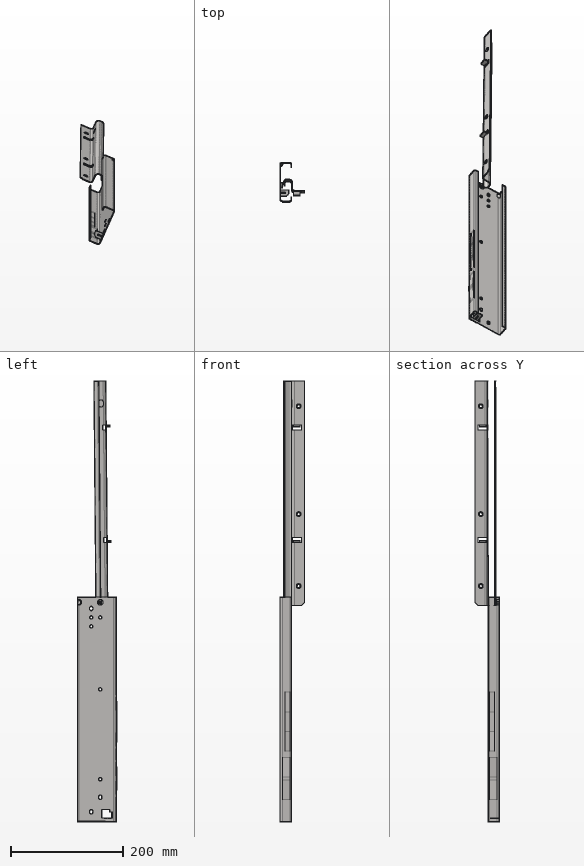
import cadquery as cq
import math

SHEET = 1.5
OVERALL_LENGTH = 785.02

CABINET_LENGTH = 400
CABINET_HEIGHT = 69.5
CABINET_DEPTH = 21.3
LIP_HEIGHT = 8.4
LOWER_WALL_BEND = 4
UPPER_WALL_BEND = 2.5
LIP_BEND = 2.5

HOLE_DIAMETER = 5.4
SLOT_LENGTH = 7.5
LOWER_ROW_Y = 28.8
UPPER_ROW_Y = LOWER_ROW_Y + 16
LOWER_ROW_HOLES = [364, 236, 76]
LOWER_ROW_SLOT = 44
UPPER_ROW_HOLES = [364, 348]
UPPER_ROW_SLOTS = [380, 18]
FRONT_FEATURE_Z = CABINET_LENGTH - 9

DIP_DEPTH = 1.3
DIP_RAMP = 35
NARROW_DIP_Z = 126
NARROW_DIP_FLAT = 35
NARROW_DIP_X = 9.2
WIDE_DIP_Z = 40
WIDE_DIP_FLAT = 5
WIDE_DIP_X = LOWER_WALL_BEND + SHEET / 2
DIP_END_X = CABINET_DEPTH - LIP_BEND - SHEET / 2

DIMPLE_RADIUS = 4
DIMPLE_OFFSET = 2

WINDOW_LOW_Y = 7
WINDOW_HIGH_Y = 26
WINDOW_BOTTOM_Z = 7.5
WINDOW_TOP_Z = 22
WINDOW_STEP_Y = 12
WINDOW_STEP_Z = 17.5
TAB_LOW_Y = 9.5
TAB_HIGH_Y = 21
TAB_REACH = 16.3
TAB_CORNER = 4.7
TAB_SLIT_END_X = 10
TAB_SLIT_WIDTH = 2
TAB_SLIT_Y = 15.5

BEVEL_WIDTH = 0.8
BEVEL_HEIGHT = 1.5
BEVEL_START_Y = 20

RIVET_DIAMETER = HOLE_DIAMETER
RIVET_BORE = 2
RIVET_HEAD_DIAMETER = 10
RIVET_HEAD_THICKNESS = 3

DRAWER_LENGTH = 400
DRAWER_TILT = 0.5
DRAWER_TOP_Y = 18.7
DRAWER_HEIGHT = 21.5
DRAWER_FLANGE_END = 44.4
WEB_X = 21
HOOK_CORNER_X = 6
HOOK_LIP_END = (8.3, 12.6)
HOOK_BEND = 5
WEB_BEND = 5.5
FLANGE_BEND = 4.2
FLANGE_CORNER = 6

FLANGE_HOLE_X = 33.6
FLANGE_HOLE_DIAMETER = 5.5
COUNTERSINK_DIAMETER = 8.5
FLANGE_HOLE_DROPS = [45, 237, 365]

LANCE_START_X = WEB_X - SHEET
LANCE_END_X = 38.5
LANCE_WIDTH = 8.5
LANCE_WEB_CUT = 6
LANCE_DROPS = {83: 1, 283: -1}
HANGER_START_X = 24
HANGER_END_X = 36
HANGER_THICKNESS = 3
HANGER_LENGTH = 6.3

DENT_DROP = 40
DENT_Y = 9
DENT_DIAMETER = 8
DENT_LENGTH = 13
DENT_DEPTH = 0.6


def rounded_outline(corners):
    """Closed outline through (x, y, radius) corners, each rounded by a tangent arc."""
    stations = []
    for index, (x, y, radius) in enumerate(corners):
        corner = cq.Vector(x, y)
        before = cq.Vector(*corners[index - 1][:2])
        after = cq.Vector(*corners[(index + 1) % len(corners)][:2])
        inward = (before - corner).normalized()
        outward = (after - corner).normalized()
        half_angle = inward.getAngle(outward) / 2
        setback = radius / math.tan(half_angle)
        middle_gap = radius / math.sin(half_angle) - radius
        middle = corner + (inward + outward).normalized() * middle_gap
        stations.append((radius, corner + inward * setback, middle, corner + outward * setback))
    outline = cq.Workplane("XY").moveTo(*stations[0][3].toTuple()[:2])
    for radius, start, middle, end in stations[1:]:
        outline = outline.lineTo(start.x, start.y)
        if radius > 0:
            outline = outline.threePointArc((middle.x, middle.y), (end.x, end.y))
    return outline.close()


def sheet_outline(path, bends):
    """Outline of bent sheet around a centre path; bends are the centre radii at inner points."""
    points = [cq.Vector(*point) for point in path]
    last = len(points) - 1
    half = SHEET / 2
    left_side = []
    right_side = []
    for index, point in enumerate(points):
        arriving = (point - points[index - 1]) if index > 0 else (points[1] - point)
        leaving = (points[index + 1] - point) if index < last else arriving
        arriving = arriving.normalized()
        leaving = leaving.normalized()
        left_arriving = cq.Vector(-arriving.y, arriving.x)
        left_leaving = cq.Vector(-leaving.y, leaving.x)
        miter = (left_arriving + left_leaving) * (half / (1 + left_arriving.dot(left_leaving)))
        left = point + miter
        right = point - miter
        is_bend = 0 < index < last
        turn = math.copysign(half, arriving.cross(leaving).z)
        left_radius = bends[index - 1] - turn if is_bend else 0
        right_radius = bends[index - 1] + turn if is_bend else 0
        left_side.append((left.x, left.y, left_radius))
        right_side.append((right.x, right.y, right_radius))
    return rounded_outline(left_side + right_side[::-1])


def box(x_range, y_range, z_range):
    """Box between the given limits along each axis."""
    lows, highs = zip(x_range, y_range, z_range)
    sizes = [high - low for low, high in zip(lows, highs)]
    return cq.Workplane("XY").box(*sizes, centered=False).translate(lows)


def wall_hole(y, z, length=HOLE_DIAMETER):
    """Cutter for a round hole, or for an upright slot of a greater length, through the wall."""
    plane = cq.Workplane("YZ", origin=(-SHEET, y, z))
    if length > HOLE_DIAMETER:
        return plane.slot2D(length, HOLE_DIAMETER, 90).extrude(3 * SHEET)
    return plane.circle(HOLE_DIAMETER / 2).extrude(3 * SHEET)


def add_dip(rail, start_x, bottom_z, flat_length):
    """Press a shallow dip with two ramps outward into the lower flange."""
    ramp_end = bottom_z + DIP_RAMP
    flat_end = ramp_end + flat_length
    profile = [
        (0, bottom_z),
        (-DIP_DEPTH, ramp_end),
        (-DIP_DEPTH, flat_end),
        (0, flat_end + DIP_RAMP),
    ]
    dip = (
        cq.Workplane("YZ", origin=(start_x, 0, 0))
        .polyline(profile)
        .close()
        .extrude(DIP_END_X - start_x)
    )
    return rail.union(dip).cut(dip.translate((0, SHEET, 0)))


def add_dimple(rail, section_envelope):
    """Press a round dimple into the bend between the wall and the upper flange."""
    centre = (0, CABINET_HEIGHT - DIMPLE_OFFSET, FRONT_FEATURE_Z)
    shell = cq.Workplane("XY").sphere(DIMPLE_RADIUS + SHEET).translate(centre)
    hollow = cq.Workplane("XY").sphere(DIMPLE_RADIUS).translate(centre)
    return rail.union(shell.intersect(section_envelope)).cut(hollow)


def add_window(rail):
    """Cut the stepped window and add the slit stop tab that is bent in from its lower edge."""
    window_corners = [
        (WINDOW_LOW_Y, WINDOW_BOTTOM_Z),
        (WINDOW_HIGH_Y, WINDOW_BOTTOM_Z),
        (WINDOW_HIGH_Y, WINDOW_TOP_Z),
        (WINDOW_STEP_Y, WINDOW_TOP_Z),
        (WINDOW_STEP_Y, WINDOW_STEP_Z),
        (WINDOW_LOW_Y, WINDOW_STEP_Z),
    ]
    window = cq.Workplane("YZ").polyline(window_corners).close().extrude(SHEET)
    tab_corners = [
        (SHEET, TAB_LOW_Y),
        (TAB_REACH - TAB_CORNER, TAB_LOW_Y),
        (TAB_REACH, TAB_LOW_Y + TAB_CORNER),
        (TAB_REACH, TAB_HIGH_Y),
        (SHEET, TAB_HIGH_Y),
    ]
    tab = (
        cq.Workplane("XY", origin=(0, 0, WINDOW_BOTTOM_Z - SHEET))
        .polyline(tab_corners)
        .close()
        .extrude(SHEET)
    )
    slit = box(
        (SHEET, TAB_SLIT_END_X),
        (TAB_SLIT_Y - TAB_SLIT_WIDTH / 2, TAB_SLIT_Y + TAB_SLIT_WIDTH / 2),
        (WINDOW_BOTTOM_Z - SHEET, WINDOW_BOTTOM_Z),
    )
    return rail.cut(window).union(tab.cut(slit))


def make_cabinet_rail():
    half = SHEET / 2
    wall_x = half
    lip_x = CABINET_DEPTH - half
    low_y = half
    high_y = CABINET_HEIGHT - half
    path = [
        (lip_x, CABINET_HEIGHT - LIP_HEIGHT),
        (lip_x, high_y),
        (wall_x, high_y),
        (wall_x, low_y),
        (lip_x, low_y),
        (lip_x, LIP_HEIGHT),
    ]
    bends = [LIP_BEND, UPPER_WALL_BEND, LOWER_WALL_BEND, LIP_BEND]
    rail = sheet_outline(path, bends).extrude(CABINET_LENGTH)

    outer_bend = UPPER_WALL_BEND + half
    envelope = (
        box((0, CABINET_DEPTH), (0, CABINET_HEIGHT), (0, CABINET_LENGTH))
        .edges("|Z and <X and >Y")
        .fillet(outer_bend)
    )
    rail = add_dimple(rail, envelope)
    rail = add_dip(rail, NARROW_DIP_X, NARROW_DIP_Z, NARROW_DIP_FLAT)
    rail = add_dip(rail, WIDE_DIP_X, WIDE_DIP_Z, WIDE_DIP_FLAT)
    rail = add_window(rail)

    for z in LOWER_ROW_HOLES + [FRONT_FEATURE_Z]:
        rail = rail.cut(wall_hole(LOWER_ROW_Y, z))
    for z in UPPER_ROW_HOLES:
        rail = rail.cut(wall_hole(UPPER_ROW_Y, z))
    rail = rail.cut(wall_hole(LOWER_ROW_Y, LOWER_ROW_SLOT, SLOT_LENGTH))
    for z in UPPER_ROW_SLOTS:
        rail = rail.cut(wall_hole(UPPER_ROW_Y, z, SLOT_LENGTH))

    bevel = (
        cq.Workplane("XZ", origin=(0, CABINET_HEIGHT, 0))
        .polyline([(0, 0), (BEVEL_WIDTH, 0), (0, BEVEL_HEIGHT)])
        .close()
        .extrude(CABINET_HEIGHT - BEVEL_START_Y)
    )
    return rail.cut(bevel)


def make_rivet():
    """Hollow rivet: its shank fills the wall hole and its head lies inside the cabinet rail."""
    centre = (0, LOWER_ROW_Y, FRONT_FEATURE_Z)
    return (
        cq.Workplane("YZ", origin=centre)
        .circle(RIVET_DIAMETER / 2)
        .extrude(SHEET)
        .faces(">X")
        .workplane()
        .circle(RIVET_HEAD_DIAMETER / 2)
        .extrude(RIVET_HEAD_THICKNESS)
        .faces(">X")
        .workplane()
        .hole(RIVET_BORE)
    )


def add_lance(rail, z, side):
    """Slot the flange and its bend, with a hanger tab at the slot's upper (1) or lower (-1) side."""
    slot = box(
        (LANCE_START_X, LANCE_END_X),
        (-SHEET, LANCE_WEB_CUT),
        (z - LANCE_WIDTH / 2, z + LANCE_WIDTH / 2),
    )
    hanger_middle = z + side * (LANCE_WIDTH - HANGER_THICKNESS) / 2
    hanger = box(
        (HANGER_START_X, HANGER_END_X),
        (-HANGER_LENGTH, SHEET),
        (hanger_middle - HANGER_THICKNESS / 2, hanger_middle + HANGER_THICKNESS / 2),
    )
    return rail.cut(slot).union(hanger)


def make_drawer_rail():
    half = SHEET / 2
    path = [
        HOOK_LIP_END,
        (HOOK_CORNER_X, DRAWER_HEIGHT - half),
        (WEB_X + half, DRAWER_HEIGHT - half),
        (WEB_X + half, half),
        (DRAWER_FLANGE_END, half),
    ]
    rail = sheet_outline(path, [HOOK_BEND, WEB_BEND, FLANGE_BEND]).extrude(DRAWER_LENGTH)
    rail = rail.edges("|Y and >X and <Z").chamfer(FLANGE_CORNER)

    for drop in FLANGE_HOLE_DROPS:
        hole = cq.Solid.makeCone(
            COUNTERSINK_DIAMETER / 2,
            FLANGE_HOLE_DIAMETER / 2,
            SHEET,
            pnt=cq.Vector(FLANGE_HOLE_X, 0, DRAWER_LENGTH - drop),
            dir=cq.Vector(0, 1, 0),
        )
        rail = rail.cut(hole)
    for drop, side in LANCE_DROPS.items():
        rail = add_lance(rail, DRAWER_LENGTH - drop, side)

    dent = (
        cq.Workplane("YZ", origin=(WEB_X, DENT_Y, DRAWER_LENGTH - DENT_DROP))
        .slot2D(DENT_LENGTH, DENT_DIAMETER, 90)
        .extrude(DENT_DEPTH)
    )
    rail = rail.cut(dent)

    return (
        rail.translate((0, 0, -DRAWER_LENGTH))
        .rotate((0, 0, 0), (1, 0, 0), -DRAWER_TILT)
        .translate((0, DRAWER_TOP_Y, OVERALL_LENGTH))
    )


cabinet_rail = make_cabinet_rail()
rivet = make_rivet()
drawer_rail = make_drawer_rail()

result = cq.Compound.makeCompound([cabinet_rail.val(), rivet.val(), drawer_rail.val()])